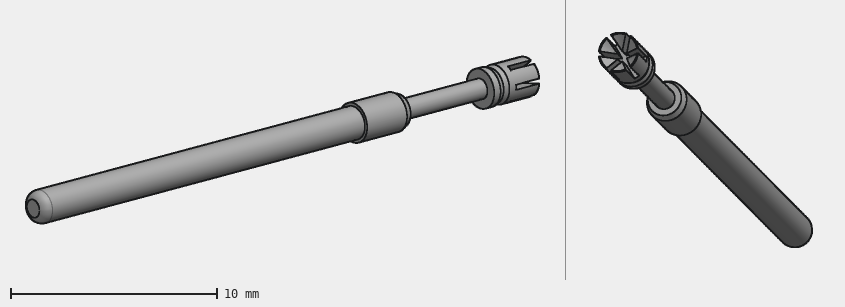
import cadquery as cq
import math

length = 32.3

barrel_radius = 0.85
tail_flat_radius = 0.45
tail_round_length = 0.5

collar_radius = 1.0
collar_start = 21.0
collar_end = 24.0
collar_chamfer_length = 0.4
collar_chamfer_depth = 0.15

shaft_radius = 0.52

head_radius = collar_radius
head_length = 2.97
groove_depth = 0.1
groove_width = 0.58
flange_width = 0.42

cup_radius = 0.95
cup_depth = 0.95
slot_count = 6
slot_width = 0.25
slot_depth = 1.52
slot_span = 3 * head_radius

tail_round_drop = barrel_radius - tail_flat_radius
tail_arc_radius = (tail_round_length**2 + tail_round_drop**2) / (2 * tail_round_drop)
tail_half_angle = math.atan2(tail_round_drop, tail_round_length)
tail_round_middle = (
    barrel_radius - tail_arc_radius * (1 - math.cos(tail_half_angle)),
    tail_round_length - tail_arc_radius * math.sin(tail_half_angle),
)

head_start = length - head_length
groove_start = head_start + flange_width
groove_middle = groove_start + groove_width / 2
groove_end = groove_start + groove_width


def turned_pin():
    """Revolve the half profile, drawn as (radius, Y) points, about the Y axis."""
    profile = (
        cq.Workplane("XY")
        .moveTo(0, 0)
        .lineTo(tail_flat_radius, 0)
        .threePointArc(tail_round_middle, (barrel_radius, tail_round_length))
        .lineTo(barrel_radius, collar_start)
        .lineTo(collar_radius, collar_start)
        .lineTo(collar_radius, collar_end - collar_chamfer_length)
        .lineTo(collar_radius - collar_chamfer_depth, collar_end)
        .lineTo(shaft_radius, collar_end)
        .lineTo(shaft_radius, head_start)
        .lineTo(head_radius, head_start)
        .lineTo(head_radius, groove_start)
        .lineTo(head_radius - groove_depth, groove_middle)
        .lineTo(head_radius, groove_end)
        .lineTo(head_radius, length)
        .lineTo(cup_radius, length)
        .lineTo(0, length - cup_depth)
        .close()
    )
    return profile.revolve(360, (0, 0, 0), (0, 1, 0))


def crown_slots():
    """Slots across the full head diameter; each one makes two opposite openings."""
    slots = cq.Workplane("XY")
    blade = cq.Workplane("XY").box(slot_span, slot_depth, slot_width)
    blade = blade.translate((0, length - slot_depth / 2, 0))
    for index in range(slot_count // 2):
        angle = index * 360 / slot_count
        slots = slots.add(blade.rotate((0, 0, 0), (0, 1, 0), angle))
    return slots.combine()


result = turned_pin().cut(crown_slots())